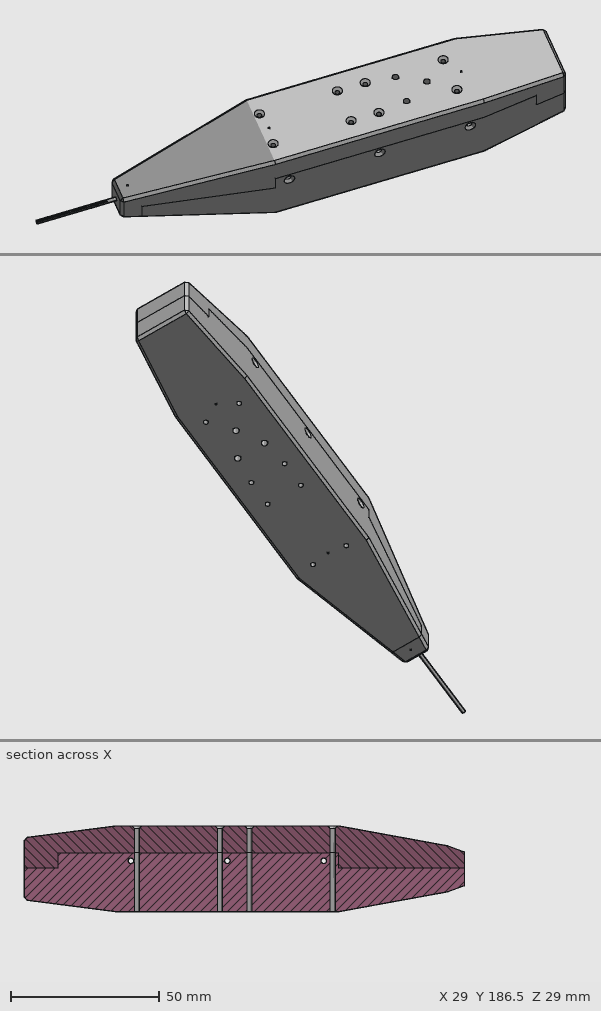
import cadquery as cq

body_width = 29.0
body_length = 75.0
tail_length = 31.0
tail_width = 21.0
nose_length = 52.0
nose_width = 10.0
edge_chamfer = 1.0

parting_height = 0.3
raised_parting_height = 5.5
tail_step_from_end = 11.3
nose_step_from_tip = 7.0

screw_hole_diameter = 1.6
screw_head_diameter = 3.4
screw_half_spacing = 6.7
screw_group_length = 28.0
screw_group_starts = (7.0, 45.0)

side_hole_diameter = 1.8
side_head_diameter = 3.8
side_hole_height = 2.7
side_hole_margin = 5.0
side_hole_count = 3

window_diameter = 2.2
front_window_from_shoulder = 24.6
rear_window_from_shoulder = 15.3
window_half_spacing = 5.4
vent_diameter = 0.6
vent_shoulder_margin = 3.0
vent_tip_margin = 4.1

needle_length = 28.49
needle_seat_depth = 3.0
needle_outer_diameter = 1.4
needle_bore_diameter = 1.1
needle_rim_height = 0.5
needle_full_length = 3.3

front_shoulder_y = -body_length
nose_tip_y = front_shoulder_y - nose_length
tail_end_y = tail_length
tip_y = nose_tip_y - needle_length
through = 2 * body_width
selection_margin = 0.1


def tapered_end(shoulder_y, end_y, end_width):
    """Square frustum from the full body section to a smaller end face."""
    length = end_y - shoulder_y
    shoulder_plane = cq.Plane(origin=(0, shoulder_y, 0), xDir=(1, 0, 0), normal=(0, length, 0))
    return (
        cq.Workplane(shoulder_plane)
        .rect(body_width, body_width)
        .workplane(offset=abs(length))
        .rect(end_width, end_width)
        .loft(ruled=True, combine=True)
    )


def edges_at(y):
    """Selector for the edges centred near the cross-section at y."""
    return cq.selectors.BoxSelector(
        (-through, y - selection_margin, -through),
        (through, y + selection_margin, through),
    )


def outer_envelope():
    """Square middle with a tail and a nose frustum; all but the shoulder edges are chamfered."""
    middle = cq.Workplane("XY").box(body_width, body_length, body_width).translate((0, -body_length / 2, 0))
    tail = tapered_end(0, tail_end_y, tail_width)
    nose = tapered_end(front_shoulder_y, nose_tip_y, nose_width)
    envelope = middle.union(tail).union(nose)
    shoulder_edges = edges_at(0) + edges_at(front_shoulder_y)
    outer_edges = cq.selectors.SubtractSelector(cq.selectors.Selector(), shoulder_edges)
    return envelope.edges(outer_edges).chamfer(edge_chamfer)


def vertical_hole(x, y, diameter):
    """Straight cutter through the whole height."""
    return cq.Workplane("XY").center(x, y).circle(diameter / 2).extrude(through, both=True)


def countersink(face_plane, head_diameter, hole_diameter):
    """90-degree cone from the head diameter on the face down to the hole; the plane points inward."""
    depth = (head_diameter - hole_diameter) / 2
    return (
        cq.Workplane(face_plane)
        .circle(head_diameter / 2)
        .workplane(offset=depth)
        .circle(hole_diameter / 2)
        .loft(combine=True)
    )


def screw_holes():
    """Through holes countersunk on the top face."""
    tools = cq.Workplane("XY")
    for start in screw_group_starts:
        for y in (-start, -start - screw_group_length):
            for x in (-screw_half_spacing, screw_half_spacing):
                top_face = cq.Plane(origin=(x, y, body_width / 2), normal=(0, 0, -1))
                head = countersink(top_face, screw_head_diameter, screw_hole_diameter)
                tools = tools.add(vertical_hole(x, y, screw_hole_diameter)).add(head)
    return tools


def side_holes():
    """Cross holes countersunk on both sides."""
    tools = cq.Workplane("XY")
    pitch = (body_length - 2 * side_hole_margin) / (side_hole_count - 1)
    for i in range(side_hole_count):
        y = -side_hole_margin - i * pitch
        shank = (
            cq.Workplane("YZ", origin=(0, y, side_hole_height))
            .circle(side_hole_diameter / 2)
            .extrude(through, both=True)
        )
        tools = tools.add(shank)
        for side in (-1, 1):
            side_face = cq.Plane(origin=(side * body_width / 2, y, side_hole_height), normal=(-side, 0, 0))
            head = countersink(side_face, side_head_diameter, side_hole_diameter)
            tools = tools.add(head)
    return tools


def plain_holes():
    """Three round windows near the rear and three fine vents on the centre line."""
    window_places = (
        (0, -rear_window_from_shoulder),
        (-window_half_spacing, -front_window_from_shoulder),
        (window_half_spacing, -front_window_from_shoulder),
    )
    vent_places = (
        -vent_shoulder_margin,
        front_shoulder_y + vent_shoulder_margin,
        nose_tip_y + vent_tip_margin,
    )
    tools = cq.Workplane("XY")
    for x, y in window_places:
        tools = tools.add(vertical_hole(x, y, window_diameter))
    for y in vent_places:
        tools = tools.add(vertical_hole(0, y, vent_diameter))
    return tools


def base_region():
    """Region below the stepped parting line, across the whole width."""
    return (
        cq.Workplane("YZ", origin=(-body_width, 0, 0))
        .moveTo(tail_end_y, -body_width)
        .lineTo(tail_end_y, parting_height)
        .lineTo(tail_end_y - tail_step_from_end, parting_height)
        .lineTo(tail_end_y - tail_step_from_end, raised_parting_height)
        .lineTo(front_shoulder_y, raised_parting_height)
        .lineTo(front_shoulder_y, parting_height)
        .lineTo(nose_tip_y + nose_step_from_tip, parting_height)
        .lineTo(nose_tip_y + nose_step_from_tip, -body_width)
        .close()
        .extrude(through)
    )


def needle_cylinder(start_y, length, diameter):
    """Cylinder on the centre axis, running forward from start_y."""
    return cq.Workplane("XZ", origin=(0, start_y, 0)).circle(diameter / 2).extrude(length)


def make_needle():
    """Tube seated in the nose; its top is cut away ahead of the full stretch, opening the bore as a slot."""
    seat_end_y = nose_tip_y + needle_seat_depth
    total_length = needle_length + needle_seat_depth
    slot_length = needle_length - needle_full_length
    tube = needle_cylinder(seat_end_y, total_length, needle_outer_diameter)
    bore = needle_cylinder(seat_end_y, total_length, needle_bore_diameter)
    top_cut = (
        cq.Workplane("XY", origin=(0, tip_y, needle_rim_height))
        .box(needle_outer_diameter, slot_length, needle_outer_diameter, centered=(True, False, False))
    )
    return tube.cut(bore).cut(top_cut)


def make_housing():
    """Complete drilled housing before it is parted into base and cover."""
    seat = needle_cylinder(nose_tip_y + needle_seat_depth, needle_seat_depth, needle_outer_diameter)
    housing = outer_envelope()
    for tools in (screw_holes(), side_holes(), plain_holes(), seat):
        for tool in tools.vals():
            housing = housing.cut(cq.Workplane(tool))
    return housing


housing = make_housing()
base = housing.intersect(base_region())
cover = housing.cut(base_region())
needle = make_needle()

result = cq.Compound.makeCompound([body.solids().val() for body in (base, cover, needle)])